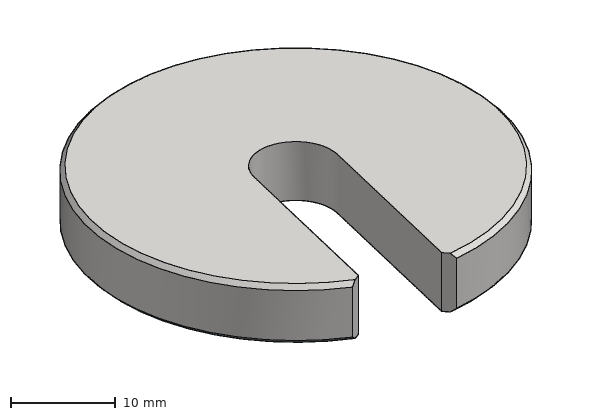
import cadquery as cq
import math

disc_diameter = 44.95
thickness = 6.5
rim_chamfer = 0.5
slot_width = 9.0
mouth_reach = 21.75
flare_start = 20.85

disc_radius = disc_diameter / 2
slot_radius = slot_width / 2
mouth_half_width = math.sqrt(disc_radius**2 - mouth_reach**2)


def make_disc():
    """Round plate with both rims chamfered."""
    return cq.Workplane("XY").circle(disc_radius).extrude(thickness).edges().chamfer(rim_chamfer)


def make_slot():
    """Round-ended slot from the centre to the +X rim, flaring at its mouth."""
    flare_slope = (mouth_half_width - slot_radius) / (mouth_reach - flare_start)
    outer_x = disc_radius + slot_radius
    outer_y = slot_radius + flare_slope * (outer_x - flare_start)
    return (
        cq.Workplane("XY")
        .moveTo(0, slot_radius)
        .threePointArc((-slot_radius, 0), (0, -slot_radius))
        .lineTo(flare_start, -slot_radius)
        .lineTo(outer_x, -outer_y)
        .lineTo(outer_x, outer_y)
        .lineTo(flare_start, slot_radius)
        .close()
        .extrude(thickness)
    )


result = make_disc().cut(make_slot())